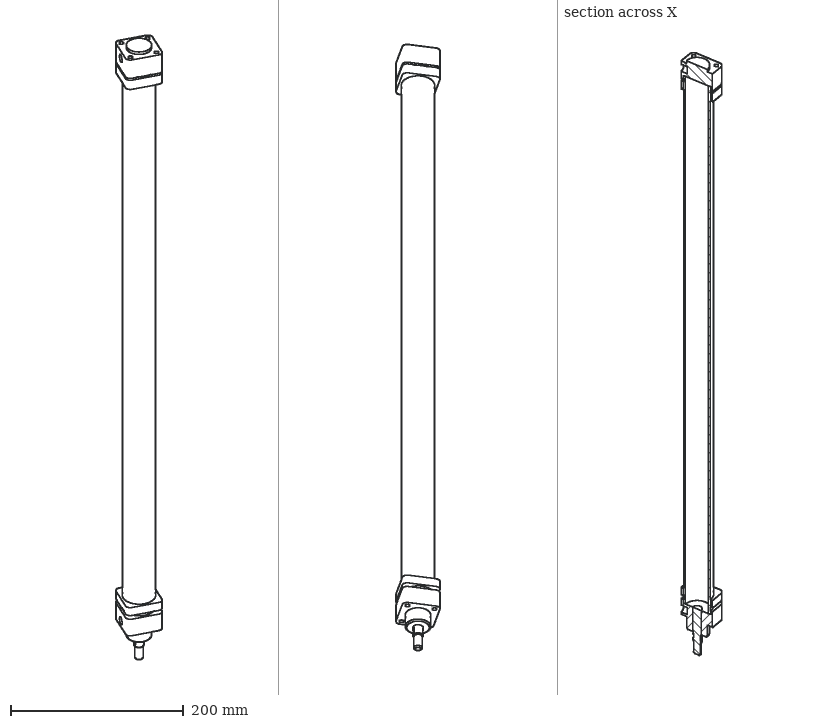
import cadquery as cq

LENGTH = 844.0
SIDE = 45.0
CORNER_RADIUS = 6.0

TUBE_DIAMETER = 39.0
BORE_DIAMETER = 32.0

THREAD_DIAMETER = 10.0
THREAD_LENGTH = 18.0
THREAD_CHAMFER = 2.0
ROD_DIAMETER = 12.0
ROD_CHAMFER = 1.3
FLAT_BOTTOM = 22.0
FLAT_HEIGHT = 5.0
FLAT_WIDTH = 10.0

FRONT_BOSS_BOTTOM = 30.0
FRONT_BOSS_CHAMFER = 2.0
FRONT_FACE = 48.0
FRONT_HEAD_HEIGHT = 23.0
FRONT_GAP = 5.0
FRONT_COLLAR_HEIGHT = 11.0

REAR_BOSS_HEIGHT = 3.0
REAR_HEAD_HEIGHT = 25.0
REAR_GAP = 2.5
REAR_COLLAR_HEIGHT = 13.0

BOSS_DIAMETER = 29.5
TUBE_SEAT = 5.0

PORT_DIAMETER = 9.0
PORT_DEPTH = 8.5
FRONT_PORT_OFFSET = 8.5
REAR_PORT_OFFSET = 10.0
SCREW_SPACING = 32.0
SCREW_DIAMETER = 5.0
SCREW_DEPTH = 15.0

front_head_top = FRONT_FACE + FRONT_HEAD_HEIGHT
front_collar_bottom = front_head_top + FRONT_GAP
rear_face = LENGTH - REAR_BOSS_HEIGHT
rear_head_bottom = rear_face - REAR_HEAD_HEIGHT
rear_collar_bottom = rear_head_bottom - REAR_GAP - REAR_COLLAR_HEIGHT
tube_bottom = front_head_top - TUBE_SEAT
tube_top = rear_head_bottom + TUBE_SEAT


def cylinder(diameter, bottom, top):
    """Upright cylinder on the Z axis between two heights."""
    return cq.Workplane("XY", origin=(0, 0, bottom)).circle(diameter / 2).extrude(top - bottom)


def square_block(bottom, height):
    """Square block on the Z axis with rounded upright edges."""
    block = cq.Workplane("XY", origin=(0, 0, bottom)).rect(SIDE, SIDE).extrude(height)
    return block.edges("|Z").fillet(CORNER_RADIUS)


def make_collar(bottom, height):
    """Square collar that fits around the tube."""
    return square_block(bottom, height).cut(cylinder(TUBE_DIAMETER, bottom, bottom + height))


def port(height):
    """Blind round port in the -Y side."""
    return cq.Workplane("XZ", origin=(0, -SIDE / 2, height)).circle(PORT_DIAMETER / 2).extrude(-PORT_DEPTH)


def screw_holes(bottom):
    """Four blind holes, one near each corner."""
    return (
        cq.Workplane("XY", origin=(0, 0, bottom))
        .rect(SCREW_SPACING, SCREW_SPACING, forConstruction=True)
        .vertices()
        .circle(SCREW_DIAMETER / 2)
        .extrude(SCREW_DEPTH)
    )


def make_front_head():
    """Lower head with a boss and a guide hole for the rod."""
    head = square_block(FRONT_FACE, FRONT_HEAD_HEIGHT)
    boss = cylinder(BOSS_DIAMETER, FRONT_BOSS_BOTTOM, FRONT_FACE)
    head = head.union(boss.faces("<Z").chamfer(FRONT_BOSS_CHAMFER))
    head = head.cut(cylinder(TUBE_DIAMETER, tube_bottom, front_head_top))
    head = head.cut(cylinder(ROD_DIAMETER, FRONT_BOSS_BOTTOM, tube_bottom))
    return head.cut(port(FRONT_FACE + FRONT_PORT_OFFSET)).cut(screw_holes(FRONT_FACE))


def make_rear_head():
    """Upper head with a low boss on its end face."""
    head = square_block(rear_head_bottom, REAR_HEAD_HEIGHT)
    head = head.union(cylinder(BOSS_DIAMETER, rear_face, LENGTH))
    head = head.cut(cylinder(TUBE_DIAMETER, rear_head_bottom, tube_top))
    return head.cut(port(rear_face - REAR_PORT_OFFSET)).cut(screw_holes(rear_face - SCREW_DEPTH))


def make_tube():
    """Cylinder tube seated in both heads."""
    return cylinder(TUBE_DIAMETER, tube_bottom, tube_top).cut(cylinder(BORE_DIAMETER, tube_bottom, tube_top))


def make_rod():
    """Piston rod with two wrench flats and a thinner threaded tip."""
    shank = cylinder(ROD_DIAMETER, THREAD_LENGTH, tube_bottom).faces("<Z").chamfer(ROD_CHAMFER)
    for side in (-1, 1):
        flat_cut = (
            cq.Workplane("XY", origin=(0, side * (FLAT_WIDTH + ROD_DIAMETER) / 2, FLAT_BOTTOM))
            .rect(ROD_DIAMETER, ROD_DIAMETER)
            .extrude(FLAT_HEIGHT)
        )
        shank = shank.cut(flat_cut)
    tip = cylinder(THREAD_DIAMETER, 0, THREAD_LENGTH).faces("<Z").chamfer(THREAD_CHAMFER)
    return shank.union(tip)


front_head = make_front_head()
rear_head = make_rear_head()
front_collar = make_collar(front_collar_bottom, FRONT_COLLAR_HEIGHT)
rear_collar = make_collar(rear_collar_bottom, REAR_COLLAR_HEIGHT)
tube = make_tube()
rod = make_rod()

result = cq.Compound.makeCompound(
    [front_head.val(), rear_head.val(), front_collar.val(), rear_collar.val(), tube.val(), rod.val()]
)